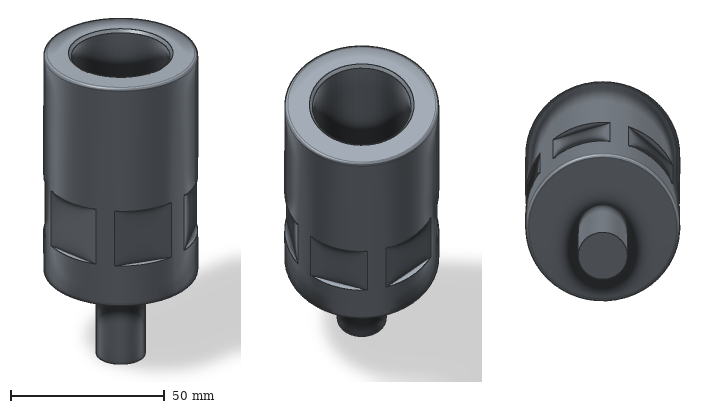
import cadquery as cq

total_height = 110.0
body_diameter = 50.0
stem_diameter = 16.0
stem_length = 30.0
bore_diameter = 32.0
bore_depth = 55.0
edge_radius = 1.0
mouth_chamfer = 1.0

flat_count = 6
across_flats = 46.1
flat_height = 20.0
flat_offset = 15.0

body_height = total_height - stem_length


def make_body():
    """Cylinder standing on the stem, with both outer edges rounded."""
    body = cq.Workplane("XY").workplane(offset=stem_length)
    body = body.circle(body_diameter / 2).extrude(body_height)
    return body.faces("<Z or >Z").edges().fillet(edge_radius)


def make_stem():
    return cq.Workplane("XY").circle(stem_diameter / 2).extrude(stem_length)


def make_bore():
    """Blind bore from the top, widened by a chamfer at its mouth."""
    bore = (
        cq.Workplane("XY")
        .workplane(offset=total_height - bore_depth)
        .circle(bore_diameter / 2)
        .extrude(bore_depth)
    )
    mouth = cq.Solid.makeCone(
        bore_diameter / 2,
        bore_diameter / 2 + mouth_chamfer,
        mouth_chamfer,
        pnt=cq.Vector(0, 0, total_height - mouth_chamfer),
    )
    return bore.union(cq.Workplane(obj=mouth))


def cut_flats(part):
    """Mill the hexagonal wrench flats, the first one facing +X."""
    cutter = (
        cq.Workplane("XY")
        .box(body_diameter, body_diameter, flat_height, centered=(False, True, False))
        .translate((across_flats / 2, 0, stem_length + flat_offset))
    )
    for index in range(flat_count):
        angle = index * 360 / flat_count
        part = part.cut(cutter.rotate((0, 0, 0), (0, 0, 1), angle))
    return part


result = cut_flats(make_body()).cut(make_bore()).union(make_stem())